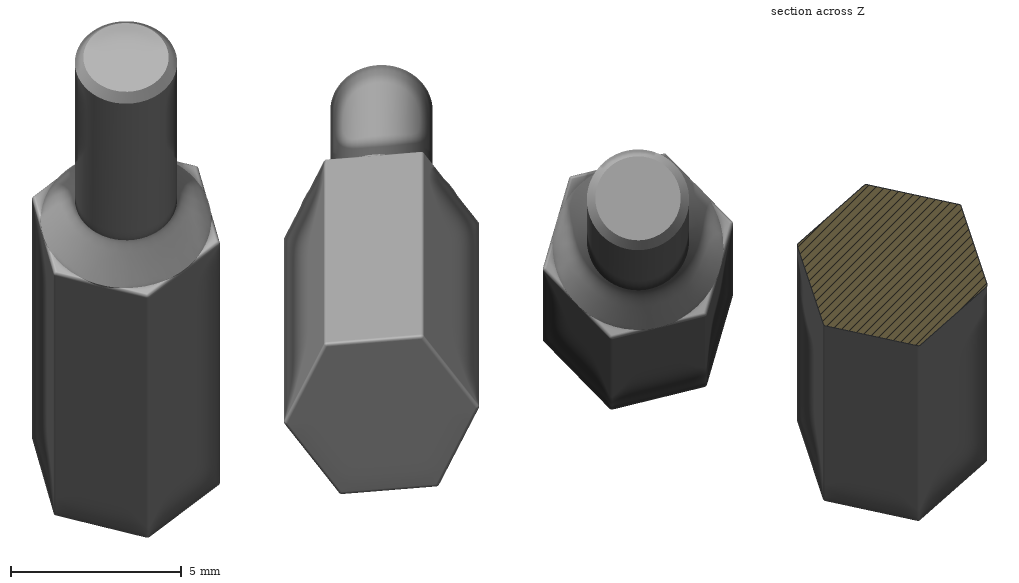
import cadquery as cq
import math

across_flats = 5.0
body_length = 12.0
edge_radius = 0.1

total_length = 20.0
stud_diameter = 3.0
stud_chamfer = 0.25
shoulder_height = (across_flats - stud_diameter) / 2


def hex_body():
    """Hexagonal prism standing on Z = 0 with every edge rounded."""
    across_corners = across_flats / math.cos(math.radians(30))
    prism = cq.Workplane("XY").polygon(6, across_corners).extrude(body_length)
    return prism.edges().fillet(edge_radius)


def shoulder_and_stud():
    """Revolved cone and stud; a short round base under the cone fills the rounded rim of the body."""
    shoulder_radius = across_flats / 2
    stud_radius = stud_diameter / 2
    return (
        cq.Workplane("XZ")
        .moveTo(0, body_length - edge_radius)
        .lineTo(shoulder_radius, body_length - edge_radius)
        .lineTo(shoulder_radius, body_length)
        .lineTo(stud_radius, body_length + shoulder_height)
        .lineTo(stud_radius, total_length - stud_chamfer)
        .lineTo(stud_radius - stud_chamfer, total_length)
        .lineTo(0, total_length)
        .close()
        .revolve(360, (0, 0, 0), (0, 1, 0))
    )


result = hex_body().union(shoulder_and_stud())